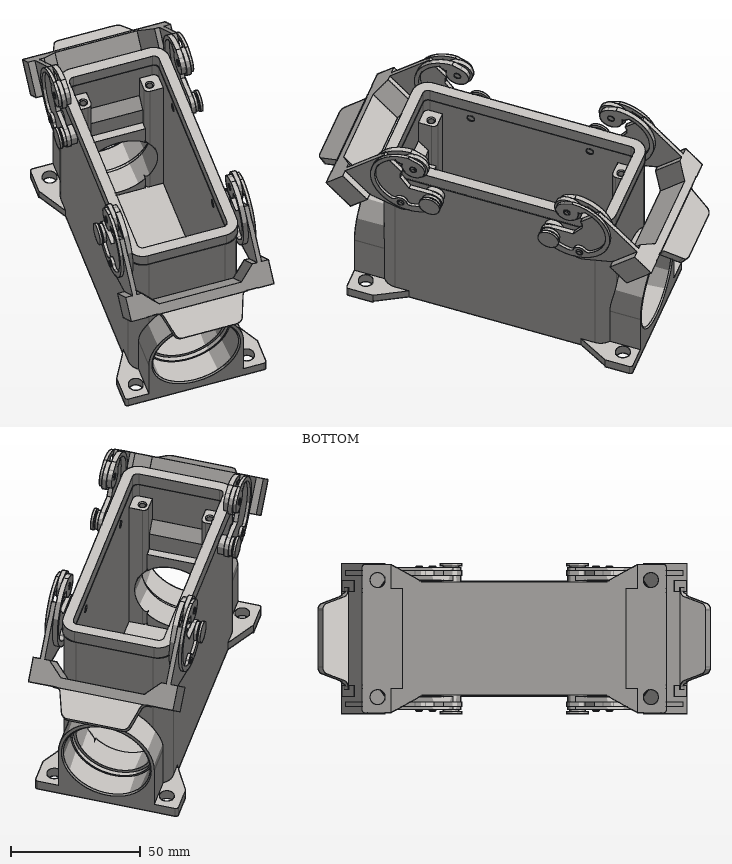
import cadquery as cq
import math

HOUSING_HALF_X = 47.4
HOUSING_HALF_Y = 21.8
COLLAR_STEP_X = 0.2
COLLAR_STEP_Y = 0.5
HOUSING_CORNER = 6.4
HOUSING_BOTTOM = 0.53
COLLAR_Z = 71.7
RIM_Z = 77.3

CAVITY_HALF_X = 43.2
CAVITY_HALF_Y = 18.0
CAVITY_CORNER = 2.1
CAVITY_STEP = 0.2
FLOOR_Z = 4.5

POST_X = 35.9
POST_Y = 10.8
POST_TOP = 65.6
POST_EDGE_RADIUS = 1.8
SCREW_X = 39.0
SCREW_Y = 13.5
SCREW_RADIUS = 1.2
SCREW_CHAMFER = 0.5
SCREW_DEPTH = 12.1
THICK_WALL_X = 39.1
THICK_WALL_TOP = 54.5
LEDGE_TOP = 42.4

ENTRY_END_X = 58.6
ENTRY_HALF_Y = 19.2
ENTRY_Z = 22.4
BORE_Z = 22.1
BORE_RADIUS = 15.8
SEAT_RADIUS = 16.8
MOUTH_RADIUS = 17.4
MOUTH_CHAMFER = 0.6
MOUTH_DEPTH = 10.6
SEAT_DEPTH = 12.4

FOOT_HALF_Y = 28.6
FOOT_TOP = 4.2
FOOT_PAD_X = 47.5
FOOT_TIP_X = 35.3
FOOT_CORNER = 1.0
FOOT_HOLE_X = 52.7
FOOT_HOLE_Y = 22.5
FOOT_HOLE_RADIUS = 2.9

CHEEK_INNER = 22.4
ARM_INNER = 24.4
ARM_OUTER = 26.2
CHEEK_OUTER = 27.4
RIVET_OUTER = 28.0
PEG_HEAD_INNER = 28.0
HANDLE_WIDTH = 58.0
HANDLE_HALF_Y = HANDLE_WIDTH / 2

RING_CENTRE = (-33.6, 75.5)
RING_OUTER = 15.5
RING_INNER = 13.5
RING_INNER_AT_PEG = 12.1
HOOK_CENTRE = (-31.5, 85.1)
HOOK_ROLLER_RADIUS = RING_OUTER - math.dist(RING_CENTRE, HOOK_CENTRE)
HOOK_RADIUS = HOOK_ROLLER_RADIUS - 0.9
HOOK_BLEND_ANGLE = 65
HOOK_NECK_ANGLE = 113
HOOK_THROAT = (-37.3, 86.7)
PEG_CENTRE = (-24.4, 67.4)
PEG_RADIUS = 4.2
PEG_CHEEK_RADIUS = 3.8
PEG_NECK_RADIUS = 3.0
RIVET_CENTRE = (-36.7, 63.3)
RIVET_RADIUS = 1.4
RIVET_CHAMFER = 0.38
RIVET_RECESS_DEPTH = 0.3
RIVET_BOSS_RADIUS = 2.5
RIVET_BOSS_BLEND = 1.5
LOBE_RADIUS = 5.3
LOBE_PEG_SIDE_ANGLE = -66
LOBE_HANDLE_SIDE_ANGLE = -107
RING_LOBE_ANGLE = -80
TIP_TOP = (-44.0, 87.4)
TIP_NOSE = (-36.7, 80.1)
TIP_NECK = (-37.3, 78.6)
TIP_HEEL = (-37.3, 76.7)
TIP_FOOT_X = -33.6
PEG_HOLE_RADIUS = 1.5
PEG_HOLE_DEPTH = 0.5

HANDLE_TOP_X = -59.8
HANDLE_LENGTH = 9.7
HANDLE_DEPTH = 14.2
HANDLE_RECESS_DEPTH = 5.8
RECESS_HALF_FLOOR = 16.7
RECESS_HALF_MOUTH = CHEEK_INNER
MARK_DEPTH = 0.2
SLOT_LENGTH = 9.7
NOTCH_LENGTH = 7.0
NOTCH_INNER_Y = 18.2

GRIP_ROOT = (-65.1, 63.2)
GRIP_END_X = -75.7
GRIP_SLOPE = 34.0
GRIP_THICKNESS = 3.5
GRIP_ROOT_HALF_Y = 16.7
GRIP_END_HALF_Y = 13.0
GRIP_CORNER = 2.7
GRIP_FLARE = 2.4
GRIP_BASE_HALF_Y = 19.7
GRIP_BASE_LENGTH = 2.3


def box(x0, x1, y0, y1, z0, z1):
    return cq.Workplane("XY").box(x1 - x0, y1 - y0, z1 - z0, centered=False).translate((x0, y0, z0))


def rounded_block(half_x, half_y, radius, z0, z1):
    """A block centred on the Z axis with rounded vertical edges."""
    return box(-half_x, half_x, -half_y, half_y, z0, z1).edges("|Z").fillet(radius)


def both_ends(solid):
    return solid.union(solid.mirror("YZ"))


def both_sides(solid):
    return solid.union(solid.mirror("XZ"))


def side_plane(distance):
    """A sketch plane at y = -distance, with X to the right, Z up and +Y behind it."""
    return cq.Workplane("XZ", origin=(0, -distance, 0))


def side_disc(centre, radius, inner, outer):
    """A disc on the -Y side, between the distances inner and outer from the XZ plane."""
    return side_plane(inner).center(*centre).circle(radius).extrude(outer - inner)


def x_cylinder(radius, z, x0, x1):
    """A cylinder along X."""
    return cq.Workplane("YZ", origin=(x0, 0, z)).circle(radius).extrude(x1 - x0)


def housing_shell():
    lower = rounded_block(HOUSING_HALF_X, HOUSING_HALF_Y, HOUSING_CORNER, HOUSING_BOTTOM, COLLAR_Z)
    collar = rounded_block(
        HOUSING_HALF_X + COLLAR_STEP_X, HOUSING_HALF_Y + COLLAR_STEP_Y, HOUSING_CORNER, COLLAR_Z, RIM_Z
    )
    return lower.union(collar)


def cavity():
    lower = rounded_block(CAVITY_HALF_X, CAVITY_HALF_Y, CAVITY_CORNER, FLOOR_Z, COLLAR_Z)
    upper = rounded_block(
        CAVITY_HALF_X + CAVITY_STEP, CAVITY_HALF_Y + CAVITY_STEP, CAVITY_CORNER, COLLAR_Z, RIM_Z
    )
    posts = box(-CAVITY_HALF_X, -POST_X, -CAVITY_HALF_Y, -POST_Y, FLOOR_Z, POST_TOP)
    posts = posts.edges("|Z and >X and >Y").fillet(POST_EDGE_RADIUS)
    posts = (
        posts.faces(">Z")
        .workplane(origin=(-SCREW_X, -SCREW_Y, POST_TOP))
        .cskHole(2 * SCREW_RADIUS, 2 * (SCREW_RADIUS + SCREW_CHAMFER), 90, SCREW_DEPTH)
    )
    posts = both_sides(posts)
    end_wall = (
        side_plane(POST_Y)
        .polyline([
            (-CAVITY_HALF_X, FLOOR_Z),
            (-POST_X, FLOOR_Z),
            (-POST_X, LEDGE_TOP),
            (-THICK_WALL_X, LEDGE_TOP),
            (-THICK_WALL_X, THICK_WALL_TOP - (CAVITY_HALF_X - THICK_WALL_X)),
            (-CAVITY_HALF_X, THICK_WALL_TOP),
        ])
        .close()
        .extrude(-2 * POST_Y)
    )
    return lower.union(upper).cut(both_ends(posts.union(end_wall)))


def cable_entry():
    """The entry at -X: a block with a round top."""
    block = box(-ENTRY_END_X, -CAVITY_HALF_X, -ENTRY_HALF_Y, ENTRY_HALF_Y, 0, ENTRY_Z)
    return block.union(x_cylinder(ENTRY_HALF_Y, ENTRY_Z, -ENTRY_END_X, -CAVITY_HALF_X))


def entry_bore():
    """The stepped bore of the entry at -X, reaching to the middle of the housing."""
    steps = [
        (-ENTRY_END_X, MOUTH_RADIUS + MOUTH_CHAMFER),
        (-ENTRY_END_X + MOUTH_CHAMFER, MOUTH_RADIUS),
        (-ENTRY_END_X + MOUTH_DEPTH, MOUTH_RADIUS),
        (-ENTRY_END_X + MOUTH_DEPTH, SEAT_RADIUS),
        (-ENTRY_END_X + SEAT_DEPTH, SEAT_RADIUS),
        (-ENTRY_END_X + SEAT_DEPTH, BORE_RADIUS),
        (0, BORE_RADIUS),
    ]
    profile = cq.Workplane("XZ").polyline([(-ENTRY_END_X, 0), *steps, (0, 0)]).close()
    return profile.revolve(360, (0, 0), (1, 0)).translate((0, 0, BORE_Z))


def feet():
    """The pad at -X with its two tapered feet."""
    pad = box(-ENTRY_END_X, -FOOT_PAD_X, -FOOT_HALF_Y, FOOT_HALF_Y, 0, FOOT_TOP)
    pad = pad.edges("|Z and <X").fillet(FOOT_CORNER)
    taper = (
        cq.Workplane("XY", origin=(0, 0, HOUSING_BOTTOM))
        .polyline([
            (-FOOT_PAD_X, -FOOT_HALF_Y),
            (-FOOT_TIP_X, -HOUSING_HALF_Y),
            (-FOOT_TIP_X, 0),
            (-FOOT_PAD_X, 0),
        ])
        .close()
        .extrude(FOOT_TOP - HOUSING_BOTTOM)
    )
    holes = (
        cq.Workplane("XY")
        .pushPoints([(-FOOT_HOLE_X, -FOOT_HOLE_Y), (-FOOT_HOLE_X, FOOT_HOLE_Y)])
        .circle(FOOT_HOLE_RADIUS)
        .extrude(FOOT_TOP)
    )
    return pad.union(both_sides(taper)).cut(holes)


def polar_point(centre, radius, degrees):
    angle = math.radians(degrees)
    return (centre[0] + radius * math.cos(angle), centre[1] + radius * math.sin(angle))


def ring_point(radius, degrees):
    return polar_point(RING_CENTRE, radius, degrees)


def hook_band():
    """The band from the hook round the back of the lever to the peg, in both outer layers."""
    top = 90
    to_peg = math.atan2(PEG_CENTRE[1] - RING_CENTRE[1], PEG_CENTRE[0] - RING_CENTRE[0])
    end = math.degrees(to_peg) + 360
    middle = (top + end) / 2
    band = (
        side_plane(CHEEK_INNER)
        .moveTo(*polar_point(HOOK_CENTRE, HOOK_RADIUS, HOOK_BLEND_ANGLE))
        .lineTo(*ring_point(RING_OUTER, top))
        .threePointArc(ring_point(RING_OUTER, middle), ring_point(RING_OUTER, end))
        .lineTo(*ring_point(RING_INNER_AT_PEG, end))
        .threePointArc(ring_point(RING_INNER, middle), ring_point(RING_INNER, HOOK_NECK_ANGLE))
        .lineTo(*HOOK_THROAT)
        .lineTo(*HOOK_CENTRE)
        .close()
        .extrude(CHEEK_OUTER - CHEEK_INNER)
    )
    band = band.union(side_disc(RIVET_CENTRE, RIVET_BOSS_RADIUS, CHEEK_INNER, CHEEK_OUTER))
    boss_corners = cq.selectors.BoxSelector(
        (RIVET_CENTRE[0] - RIVET_BOSS_RADIUS, -CHEEK_OUTER, RIVET_CENTRE[1] - RIVET_BOSS_RADIUS),
        (RIVET_CENTRE[0] + RIVET_BOSS_RADIUS, -CHEEK_INNER, RIVET_CENTRE[1] + RIVET_BOSS_RADIUS),
    )
    band = band.edges("|Y").edges(boss_corners).fillet(RIVET_BOSS_BLEND)
    middle_gap = box(TIP_TOP[0] - RING_OUTER, 0, -ARM_OUTER, -ARM_INNER, 0, RIM_Z + RING_OUTER)
    return band.cut(middle_gap)


HANDLE_TOP = (HANDLE_TOP_X, TIP_TOP[1] + HANDLE_TOP_X - TIP_TOP[0])
DIAGONAL = math.sqrt(0.5)


def handle_point(along, across):
    """Distances measured from the handle's top corner, down the arm and across it."""
    return (HANDLE_TOP[0] + (across - along) * DIAGONAL, HANDLE_TOP[1] - (across + along) * DIAGONAL)


def lever_arm():
    """The middle layer of a cheek: arm, locking tip and lobe in one plate."""
    thickness = ARM_OUTER - ARM_INNER
    peg_top = PEG_CENTRE[1] + PEG_RADIUS
    plate = (
        side_plane(ARM_INNER)
        .polyline([
            HANDLE_TOP,
            TIP_TOP,
            TIP_NOSE,
            TIP_NECK,
            TIP_HEEL,
            (TIP_FOOT_X, peg_top),
            (PEG_CENTRE[0], peg_top),
            PEG_CENTRE,
            ring_point(RING_OUTER, RING_LOBE_ANGLE),
            polar_point(RIVET_CENTRE, LOBE_RADIUS, LOBE_PEG_SIDE_ANGLE),
            polar_point(RIVET_CENTRE, LOBE_RADIUS, LOBE_HANDLE_SIDE_ANGLE),
            handle_point(0, HANDLE_DEPTH),
        ])
        .close()
        .extrude(thickness)
    )
    return plate.union(side_disc(RIVET_CENTRE, LOBE_RADIUS, ARM_INNER, ARM_OUTER))


def lever_cheek():
    """One side of the lever at -X, on the -Y side of the housing."""
    cheek = lever_arm().union(hook_band())
    discs = [
        (HOOK_CENTRE, HOOK_RADIUS, CHEEK_INNER, CHEEK_OUTER),
        (HOOK_CENTRE, HOOK_ROLLER_RADIUS, ARM_INNER, ARM_OUTER),
        (PEG_CENTRE, PEG_CHEEK_RADIUS, (CAVITY_HALF_Y + HOUSING_HALF_Y) / 2, CHEEK_OUTER),
        (PEG_CENTRE, PEG_RADIUS, ARM_INNER, ARM_OUTER),
        (PEG_CENTRE, PEG_NECK_RADIUS, CHEEK_OUTER, PEG_HEAD_INNER),
        (PEG_CENTRE, PEG_RADIUS, PEG_HEAD_INNER, HANDLE_HALF_Y),
    ]
    for disc in discs:
        cheek = cheek.union(side_disc(*disc))
    for centre in (HOOK_CENTRE, RIVET_CENTRE):
        rivet = side_disc(centre, RIVET_RADIUS, CHEEK_OUTER, RIVET_OUTER)
        cheek = cheek.union(rivet.faces("<Y").chamfer(RIVET_CHAMFER))
    return cheek.cut(side_disc(HOOK_CENTRE, RIVET_RADIUS, CHEEK_INNER, CHEEK_INNER + RIVET_RECESS_DEPTH))


def handle():
    """The bar joining both cheeks, hollowed on the housing side."""
    bar = (
        side_plane(HANDLE_HALF_Y)
        .polyline([
            handle_point(0, 0),
            handle_point(HANDLE_LENGTH, 0),
            handle_point(HANDLE_LENGTH, HANDLE_DEPTH),
            handle_point(0, HANDLE_DEPTH),
        ])
        .close()
        .extrude(-2 * HANDLE_HALF_Y)
    )
    across = cq.Plane(
        origin=(HANDLE_TOP[0], 0, HANDLE_TOP[1]),
        xDir=(-DIAGONAL, 0, -DIAGONAL),
        normal=(DIAGONAL, 0, -DIAGONAL),
    )
    recess = (
        cq.Workplane(across)
        .polyline([
            (0, -RECESS_HALF_MOUTH),
            (HANDLE_RECESS_DEPTH, -RECESS_HALF_FLOOR),
            (HANDLE_RECESS_DEPTH, RECESS_HALF_FLOOR),
            (0, RECESS_HALF_MOUTH),
        ])
        .close()
        .extrude(HANDLE_DEPTH)
    )
    return bar.cut(recess).cut(both_sides(handle_marks()))


def handle_marks():
    """Shallow arm slot and notch in the end face of the handle, on the -Y side."""
    slot_start = (HANDLE_DEPTH - SLOT_LENGTH) / 2
    marks = cq.Workplane("XY")
    for start, length, inner, outer in (
        (slot_start, SLOT_LENGTH, ARM_INNER, ARM_OUTER),
        (0, NOTCH_LENGTH, NOTCH_INNER_Y, CHEEK_INNER),
    ):
        marks = marks.add(
            side_plane(inner)
            .polyline([
                handle_point(HANDLE_LENGTH, start),
                handle_point(HANDLE_LENGTH, start + length),
                handle_point(HANDLE_LENGTH - MARK_DEPTH, start + length),
                handle_point(HANDLE_LENGTH - MARK_DEPTH, start),
            ])
            .close()
            .extrude(outer - inner)
        )
    return marks.combine()


def grip():
    """The sloping tab on the handle, narrowing to rounded corners at its end."""
    slope = math.radians(GRIP_SLOPE)
    reach = (GRIP_ROOT[0] - GRIP_END_X - GRIP_THICKNESS / 2 * math.sin(slope)) / math.cos(slope)
    plane = cq.Plane(
        origin=(GRIP_ROOT[0], 0, GRIP_ROOT[1]),
        xDir=(-math.cos(slope), 0, -math.sin(slope)),
        normal=(-math.sin(slope), 0, math.cos(slope)),
    )
    margin = GRIP_THICKNESS / 2
    root_half_y = (GRIP_ROOT_HALF_Y + GRIP_BASE_HALF_Y) / 2
    root_corners = cq.selectors.BoxSelector((-margin, -root_half_y, -margin), (margin, root_half_y, margin))
    outline = (
        cq.Sketch()
        .polygon([
            (-GRIP_BASE_LENGTH, -GRIP_BASE_HALF_Y),
            (0, -GRIP_BASE_HALF_Y),
            (0, -GRIP_ROOT_HALF_Y),
            (reach, -GRIP_END_HALF_Y),
            (reach, GRIP_END_HALF_Y),
            (0, GRIP_ROOT_HALF_Y),
            (0, GRIP_BASE_HALF_Y),
            (-GRIP_BASE_LENGTH, GRIP_BASE_HALF_Y),
            (-GRIP_BASE_LENGTH, -GRIP_BASE_HALF_Y),
        ])
        .vertices(">X")
        .fillet(GRIP_CORNER)
        .reset()
        .vertices(root_corners)
        .fillet(GRIP_FLARE)
    )
    return cq.Workplane(plane).placeSketch(outline).extrude(GRIP_THICKNESS / 2, both=True)


def lever():
    return both_sides(lever_cheek()).union(handle()).union(grip())


def peg_holes():
    """Shallow holes inside the cavity walls, in line with the lever pegs."""
    return both_sides(side_disc(PEG_CENTRE, PEG_HOLE_RADIUS, CAVITY_HALF_Y, CAVITY_HALF_Y + PEG_HOLE_DEPTH))


result = housing_shell().union(both_ends(cable_entry().union(feet())))
result = result.cut(cavity()).cut(both_ends(entry_bore())).cut(both_ends(peg_holes()))
result = result.union(both_ends(lever()))